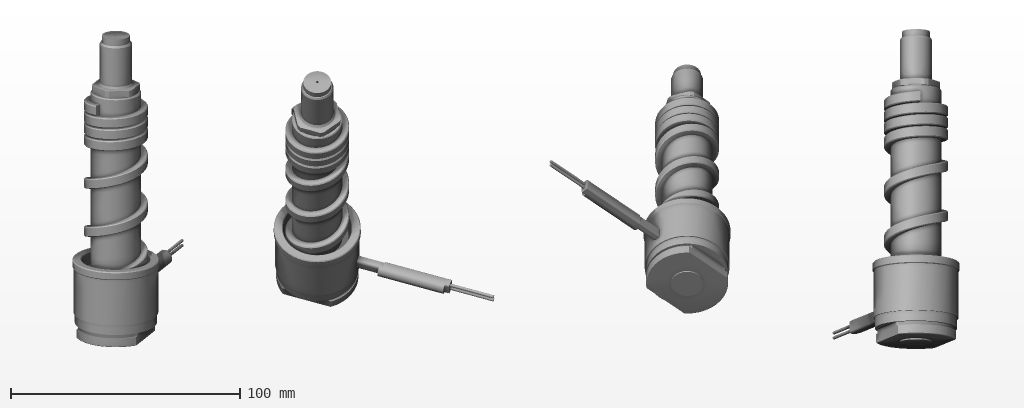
import cadquery as cq
import math

foot_radius = 7.0
foot_top = 0.5
base_radius = 18.0
base_edge_chamfer = 0.3
base_flange_top = 4.5
neck_radius = 17.0
neck_top = 6.2
base_top = 10.8
flat_distance = 14.0
cup_radius = 18.5
bezel_diameter = 38.0
bezel_radius = bezel_diameter / 2
bezel_bottom = 31.6
bezel_chamfer = 0.4
cup_top = 35.4
cup_bore_radius = 15.0
cup_bore_chamfer = 0.4
cup_floor = 9.4

body_radius = 11.0
body_top = 112.4
body_chamfer = 0.4
hex_apothem = 9.5
hex_corner_radius = 10.5
hex_bottom = 112.8
hex_edge_top = 115.5
undercut_radius = 9.7
collar_radius = 7.9
collar_bottom = 116.0
collar_top = 116.8
stem_radius = 7.0
stem_top = 134.5
tip_radius = 6.1
tip_shoulder_radius = 6.5
tip_bottom = 135.3
overall_height = 138.2
center_hole_diameter = 1.1
center_hole_depth = 1.4

rib_outer_radius = 14.0
rib_root_radius = 10.5
rib_height = 4.5
rib_chamfer = 0.4
close_pitch = 5.3
open_pitch = 22.1
rib_top_angle = -107.0
rib_top_height = 107.0
close_turns = 3.03
easing_turns = 0.45
open_turns = 2.3
points_per_turn = 24

cable_x = -1.17
cable_z = 17.4
overall_depth = 100.0
cable_end = overall_depth - bezel_radius
wire_diameter = 1.4
wire_spacing = 2.2
sleeve_start = 30.4
sleeve_end = 61.1
sleeve_width = 4.0
sleeve_height = 5.8
sleeve_fillet = 1.0
cord_left = -2.6
cord_right = 0.8
cord_height = 5.1
cord_start = 16.6
cord_left_fillet = 0.3
cord_right_fillet = 1.2
half_round_flat_x = 0.1
half_round_radius = 2.8
half_round_start = 28.7
half_round_end = 59.0


def revolve_outline(points):
    """Solid of revolution about Z from (radius, height) points that start and end on the axis."""
    return cq.Workplane("XZ").polyline(points).close().revolve(360, (0, 0, 0), (0, 1, 0))


def make_base():
    outline = [
        (0, 0),
        (foot_radius, 0),
        (foot_radius, foot_top),
        (base_radius - base_edge_chamfer, foot_top),
        (base_radius, foot_top + base_edge_chamfer),
        (base_radius, base_flange_top),
        (neck_radius, base_flange_top),
        (neck_radius, neck_top),
        (0, neck_top),
    ]
    across_flats = cq.Workplane("XY").box(
        2 * flat_distance, 2 * base_radius, neck_top, centered=(True, True, False)
    )
    return revolve_outline(outline).intersect(across_flats)


def make_cup():
    return revolve_outline([
        (0, neck_top),
        (base_radius, neck_top),
        (base_radius, base_top),
        (cup_radius, base_top),
        (cup_radius, bezel_bottom),
        (bezel_radius, bezel_bottom + bezel_chamfer),
        (bezel_radius, cup_top - bezel_chamfer),
        (bezel_radius - bezel_chamfer, cup_top),
        (cup_bore_radius + cup_bore_chamfer, cup_top),
        (cup_bore_radius, cup_top - cup_bore_chamfer),
        (cup_bore_radius, cup_floor),
        (0, cup_floor),
    ])


def make_shaft():
    body = revolve_outline([
        (0, neck_top),
        (body_radius, neck_top),
        (body_radius, body_top - body_chamfer),
        (body_radius - body_chamfer, body_top),
        (0, body_top),
    ])
    nut_blank = revolve_outline([
        (0, body_top),
        (undercut_radius, body_top),
        (undercut_radius, hex_bottom),
        (hex_corner_radius, hex_bottom),
        (hex_corner_radius, hex_edge_top),
        (collar_radius, collar_bottom),
        (0, collar_bottom),
    ])
    hex_prism = (
        cq.Workplane("XY", origin=(0, 0, body_top))
        .polygon(6, 2 * hex_apothem, circumscribed=True)
        .extrude(collar_bottom - body_top)
    )
    stem = revolve_outline([
        (0, collar_bottom),
        (collar_radius, collar_bottom),
        (stem_radius, collar_top),
        (stem_radius, stem_top),
        (tip_shoulder_radius, tip_bottom),
        (tip_radius, tip_bottom),
        (tip_radius, overall_height),
        (0, overall_height),
    ])
    shaft = body.union(nut_blank.intersect(hex_prism)).union(stem)
    return shaft.faces(">Z").workplane().hole(center_hole_diameter, center_hole_depth)


def eased_turns(turns, start):
    """Integral of a ramp that climbs from 0 to 1 over the easing turns after start, then stays at 1."""
    eased = min(max(turns - start, 0), easing_turns)
    settled = max(turns - start - easing_turns, 0)
    return eased**2 / (2 * easing_turns) + settled


def rib_drop(turns):
    """Distance the rib has fallen after a number of turns down from its top end."""
    opening = close_turns
    closing = close_turns + easing_turns + open_turns
    open_share = eased_turns(turns, opening) - eased_turns(turns, closing)
    return close_pitch * turns + (open_pitch - close_pitch) * open_share


def make_rib():
    total_turns = 2 * (close_turns + easing_turns) + open_turns
    steps = round(total_turns * points_per_turn)
    half = rib_height / 2
    section = [
        (rib_root_radius, -half),
        (rib_outer_radius - rib_chamfer, -half),
        (rib_outer_radius, -half + rib_chamfer),
        (rib_outer_radius, half - rib_chamfer),
        (rib_outer_radius - rib_chamfer, half),
        (rib_root_radius, half),
    ]

    def corner_curve(radius, offset):
        points = []
        for step in range(steps + 1):
            turns = total_turns * step / steps
            angle = math.radians(rib_top_angle - 360 * turns)
            height = rib_top_height + offset - rib_drop(turns)
            points.append(cq.Vector(radius * math.cos(angle), radius * math.sin(angle), height))
        return cq.Edge.makeSpline(points)

    curves = [corner_curve(radius, offset) for radius, offset in section]
    faces = [cq.Face.makeRuledSurface(curves[i - 1], curves[i]) for i in range(len(curves))]
    for end in (0, 1):
        corners = [curve.positionAt(end) for curve in curves]
        faces.append(cq.Face.makeFromWires(cq.Wire.makePolygon(corners, close=True)))
    return cq.Workplane(cq.Solid.makeSolid(cq.Shell.makeShell(faces)).fix())


def bar_along_y(left, right, start, end, height):
    return cq.Workplane("XY").box(right - left, end - start, height).translate(
        ((left + right) / 2, (start + end) / 2, cable_z)
    )


def make_cable():
    sleeve = bar_along_y(
        cable_x - sleeve_width / 2, cable_x + sleeve_width / 2, sleeve_start, sleeve_end, sleeve_height
    ).edges("|Y").fillet(sleeve_fillet)
    cord = bar_along_y(cord_left, cord_right, cord_start, sleeve_end, cord_height)
    cord = cord.edges("|Y and <X").fillet(cord_left_fillet)
    cord = cord.edges("|Y and >X").fillet(cord_right_fillet)
    half_round = (
        cq.Workplane("XZ", origin=(half_round_flat_x, half_round_start, cable_z))
        .moveTo(0, -half_round_radius)
        .threePointArc((half_round_radius, 0), (0, half_round_radius))
        .close()
        .extrude(half_round_start - half_round_end)
    )
    cable = sleeve.union(cord).union(half_round)
    for side in (-1, 1):
        wire = (
            cq.Workplane("XZ", origin=(cable_x, sleeve_start, cable_z + side * wire_spacing / 2))
            .circle(wire_diameter / 2)
            .extrude(sleeve_start - cable_end)
        )
        cable = cable.union(wire)
    return cable


result = make_base().union(make_cup()).union(make_shaft()).union(make_rib()).union(make_cable())